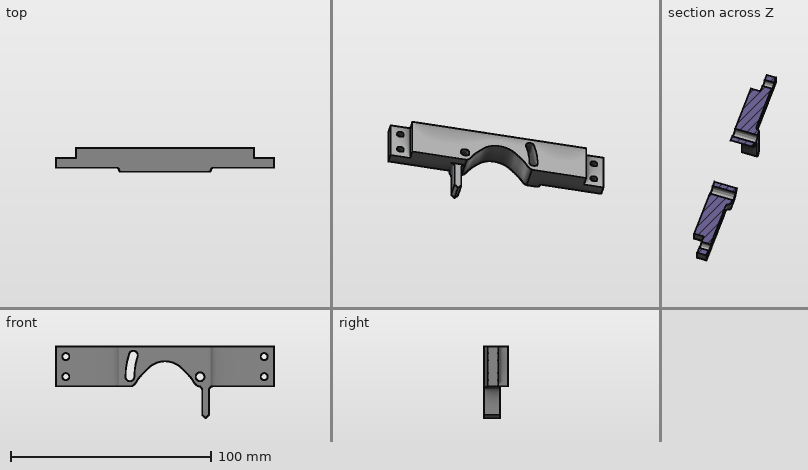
import math

import cadquery as cq

length = 109.0
height = 20.0
end_tab_length = 10.0
rear_step = 5.0
bar_thickness = 5.0
pad_step = 2.0
thickness = rear_step + bar_thickness + pad_step

pad_half_width = 22.0
blend_radius = pad_step / 2
pad_foot_half_width = pad_half_width + 2 * blend_radius

arch_top_z = -7.5
arch_radius = 11.9
arch_flank_slope = math.radians(45)
flank_end_x = 11.4
flare_end_x = 14.4
flare_end_z = -18.0
arch_foot_radius = 6.0

finger_right_x = pad_half_width
finger_width = 3.5
finger_left_x = finger_right_x - finger_width
finger_thickness = 8.0
finger_tip_z = -35.89
finger_root_radius = 1.8

arch_foot_x = finger_left_x - finger_root_radius

pivot_x = 17.5
pivot_z = -15.2
pivot_diameter = 4.3
slot_radius = 35.0
slot_sweep = math.radians(18)

mount_hole_diameter = 3.4
mount_hole_x = length / 2 - end_tab_length / 2
mount_hole_depths = (5.1, 15.1)


def make_plan(depth):
    """Stepped plan outline with the blended front pad, extruded down from the top face."""
    half_length = length / 2
    rear_half = half_length - end_tab_length
    bar_front = -(rear_step + bar_thickness)
    blend_middle = bar_front - blend_radius
    return (
        cq.Workplane("XY")
        .moveTo(-rear_half, 0)
        .lineTo(rear_half, 0)
        .lineTo(rear_half, -rear_step)
        .lineTo(half_length, -rear_step)
        .lineTo(half_length, bar_front)
        .lineTo(pad_foot_half_width, bar_front)
        .tangentArcPoint((pad_foot_half_width - blend_radius, blend_middle), relative=False)
        .tangentArcPoint((pad_half_width, -thickness), relative=False)
        .lineTo(-pad_half_width, -thickness)
        .tangentArcPoint((blend_radius - pad_foot_half_width, blend_middle), relative=False)
        .tangentArcPoint((-pad_foot_half_width, bar_front), relative=False)
        .lineTo(-half_length, bar_front)
        .lineTo(-half_length, -rear_step)
        .lineTo(-rear_half, -rear_step)
        .close()
        .extrude(-depth)
    )


def make_arch():
    """Arch cutter: round crown, straight flanks, steeper flares and rounded feet."""
    crown_end_x = arch_radius * math.sin(arch_flank_slope)
    crown_end_z = arch_top_z - arch_radius * (1 - math.cos(arch_flank_slope))
    flank_end_z = crown_end_z - (flank_end_x - crown_end_x) * math.tan(arch_flank_slope)
    half_angle = arch_flank_slope / 2
    half = (
        cq.Workplane("XZ")
        .moveTo(0, arch_top_z)
        .threePointArc(
            (arch_radius * math.sin(half_angle), arch_top_z - arch_radius * (1 - math.cos(half_angle))),
            (crown_end_x, crown_end_z),
        )
        .lineTo(flank_end_x, flank_end_z)
        .tangentArcPoint((flare_end_x, flare_end_z), relative=False)
        .radiusArc((arch_foot_x, -height), -arch_foot_radius)
        .lineTo(0, -height)
        .close()
        .extrude(thickness)
    )
    return half.union(half.mirror("YZ"))


def make_finger():
    """Finger with a 90 degree point and root fillets, trimmed to the plan outline."""
    shoulder_z = finger_tip_z + finger_width / 2
    root_z = -height - finger_root_radius
    overlap_z = -height + finger_root_radius / 2
    blank = (
        cq.Workplane("XZ", origin=(0, finger_thickness - thickness, 0))
        .moveTo(finger_left_x, shoulder_z)
        .lineTo(finger_left_x + finger_width / 2, finger_tip_z)
        .lineTo(finger_right_x, shoulder_z)
        .lineTo(finger_right_x, root_z)
        .tangentArcPoint((finger_right_x + finger_root_radius, -height), relative=False)
        .lineTo(finger_right_x, overlap_z)
        .lineTo(finger_left_x, overlap_z)
        .lineTo(finger_left_x - finger_root_radius, -height)
        .radiusArc((finger_left_x, root_z), finger_root_radius)
        .close()
        .extrude(finger_thickness)
    )
    return blank.intersect(make_plan(-finger_tip_z))


def make_holes():
    """Cutters for the pivot hole and the four mounting holes."""
    mount_points = [(side * mount_hole_x, -depth) for side in (-1, 1) for depth in mount_hole_depths]
    mounts = cq.Workplane("XZ").pushPoints(mount_points).circle(mount_hole_diameter / 2).extrude(thickness)
    pivot = cq.Workplane("XZ").center(pivot_x, pivot_z).circle(pivot_diameter / 2).extrude(thickness)
    return mounts.union(pivot)


def slot_point(radius, angle):
    """Point at a radius and a rising angle on the far side of the pivot."""
    return (pivot_x - radius * math.cos(angle), pivot_z + radius * math.sin(angle))


def make_slot():
    """Cutter for the curved slot, as wide as the pivot hole, with round ends."""
    half_width = pivot_diameter / 2
    outer = slot_radius + half_width
    inner = slot_radius - half_width
    return (
        cq.Workplane("XZ")
        .moveTo(*slot_point(outer, 0))
        .threePointArc(slot_point(outer, slot_sweep / 2), slot_point(outer, slot_sweep))
        .tangentArcPoint(slot_point(inner, slot_sweep), relative=False)
        .threePointArc(slot_point(inner, slot_sweep / 2), slot_point(inner, 0))
        .tangentArcPoint(slot_point(outer, 0), relative=False)
        .close()
        .extrude(thickness)
    )


bar = make_plan(height).cut(make_arch())
result = bar.union(make_finger()).cut(make_holes()).cut(make_slot())